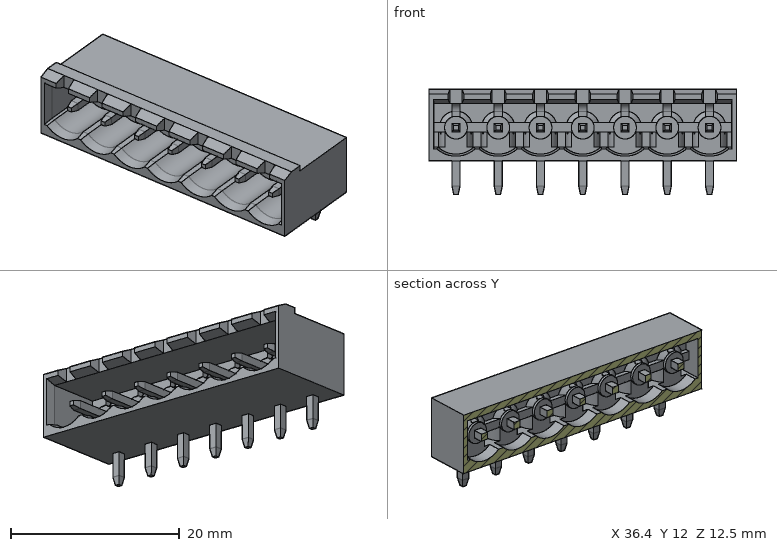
import cadquery as cq


length = 36.4
depth = 12.0
roof_height = 7.75
lip_height = 8.48
lip_depth = 3.0
bevel_depth = 1.3
bevel_drop = 0.55

pin_count = 7
pitch = 5.0
pin_width = 1.0
pin_tip_width = 0.55
pin_taper = 1.02
pin_drop = 4.0
pin_axis_z = 3.93
pin_tip_y = 1.4
leg_y = 10.0
pin_xs = [(i - (pin_count - 1) / 2) * pitch for i in range(pin_count)]

end_wall = 0.62
mouth_end_wall = 0.5
floor_z = 1.65
mouth_floor_z = 1.42
ceiling_z = 6.77
mouth_ceiling_z = 7.28
back_y = 7.65
cavity_length = length - 2 * end_wall

scallop_radius = 3.13
mouth_scallop_radius = 3.4

notch_width = 1.45
mouth_notch_width = 1.85

collar_radius = 1.35
collar_base_radius = 1.95
collar_rise = 0.35
ledge_bottom_z = 3.42
ledge_top_z = 4.5
upper_wall_y = back_y + collar_base_radius - collar_radius
slot_round = 0.95
pocket_y = upper_wall_y + slot_round
post_radius = 2.05


def block(x0, x1, y0, y1, z0, z1):
    """Box between opposite corner coordinates."""
    box = cq.Workplane("XY").box(x1 - x0, y1 - y0, z1 - z0, centered=False)
    return box.translate((x0, y0, z0))


def cavity_slab(y0, y1, z0, z1):
    """Box as long as the straight part of the socket."""
    return block(-cavity_length / 2, cavity_length / 2, y0, y1, z0, z1)


def turned(x, profile):
    """Body turned about a pin axis from (radius, y) points."""
    body = cq.Workplane("XY").polyline(profile).close().revolve(360, (0, 0, 0), (0, 1, 0))
    return body.translate((x, 0, pin_axis_z))


def at_pins(make):
    """All copies of a feature, one at each pin position, as one body."""
    bodies = make(pin_xs[0])
    for x in pin_xs[1:]:
        bodies = bodies.union(make(x))
    return bodies


def housing_blank():
    """Housing side outline with the raised, bevelled lip, extruded along X."""
    outline = [
        (0, 0),
        (depth, 0),
        (depth, roof_height),
        (lip_depth, roof_height),
        (lip_depth, lip_height),
        (bevel_depth, lip_height),
        (0, lip_height - bevel_drop),
    ]
    return cq.Workplane("YZ").polyline(outline).close().extrude(length / 2, both=True)


def flared_mouth():
    """Lead-in that widens from the straight cavity to the open face."""
    mouth_length = length - 2 * mouth_end_wall
    mouth_rise = mouth_ceiling_z - mouth_floor_z
    rise = ceiling_z - floor_z
    centre_shift = (ceiling_z + floor_z - mouth_ceiling_z - mouth_floor_z) / 2
    return (
        cq.Workplane("XZ")
        .center(0, (mouth_ceiling_z + mouth_floor_z) / 2)
        .rect(mouth_length, mouth_rise)
        .workplane(offset=-bevel_depth)
        .center(0, centre_shift)
        .rect(cavity_length, rise)
        .loft(combine=True)
    )


def scallop(x):
    """Rounded floor trough with a conical lead-in."""
    trough = turned(x, [
        (0, 0),
        (mouth_scallop_radius, 0),
        (scallop_radius, bevel_depth),
        (scallop_radius, back_y),
        (0, back_y),
    ])
    return trough.intersect(cavity_slab(0, back_y, 0, floor_z))


def lip_notch(x):
    """Notch through the lip, narrowing away from the open face."""
    outline = [
        (x - mouth_notch_width / 2, 0),
        (x + mouth_notch_width / 2, 0),
        (x + notch_width / 2, bevel_depth),
        (x - notch_width / 2, bevel_depth),
    ]
    notch = cq.Workplane("XY").polyline(outline).close().extrude(lip_height - ceiling_z)
    return notch.translate((0, 0, ceiling_z))


def collar(x):
    """Round collar that carries the pin and flares to the upper back wall."""
    return turned(x, [
        (0, back_y - collar_rise),
        (collar_radius, back_y - collar_rise),
        (collar_radius, back_y),
        (collar_base_radius, upper_wall_y),
        (0, upper_wall_y),
    ])


def post(x):
    """Upright round post with a flat front, below the ledge."""
    post_height = ledge_bottom_z - floor_z
    round_post = cq.Workplane("XY", origin=(x, pocket_y, floor_z)).circle(post_radius).extrude(post_height)
    return round_post.intersect(cavity_slab(back_y, pocket_y, floor_z, ledge_bottom_z))


def wall_slot(x):
    """Slot above the collar, with a rounded top that runs into its back."""
    bottom_z = pin_axis_z + collar_radius
    slot = block(x - pin_width / 2, x + pin_width / 2, back_y, pocket_y, bottom_z, ceiling_z)
    return slot.edges("|X and >Y and >Z").fillet(slot_round)


def tapered_bar(start, along, bar_length):
    """Square bar from a start point, ending in a tapered tip."""
    plane = cq.Plane(origin=start, xDir=(1, 0, 0), normal=along)
    shank = bar_length - pin_taper
    bar = cq.Workplane(plane).rect(pin_width, pin_width).extrude(shank)
    tip = (
        cq.Workplane(plane)
        .workplane(offset=shank)
        .rect(pin_width, pin_width)
        .workplane(offset=pin_taper)
        .rect(pin_tip_width, pin_tip_width)
        .loft(combine=True)
    )
    return bar.union(tip)


def bent_pin(x):
    """Contact in the socket joined to the solder leg below the housing."""
    corner = (x, leg_y, pin_axis_z)
    contact = tapered_bar(corner, (0, -1, 0), leg_y - pin_tip_y)
    leg = tapered_bar(corner, (0, 0, -1), pin_axis_z + pin_drop)
    return contact.union(leg)


socket = cavity_slab(0, back_y, floor_z, ceiling_z).union(flared_mouth())
upper_recess = cavity_slab(back_y, upper_wall_y, ledge_top_z, ceiling_z)
lower_pockets = cavity_slab(back_y, pocket_y, floor_z, ledge_bottom_z).cut(at_pins(post))

result = (
    housing_blank()
    .cut(socket)
    .cut(at_pins(scallop))
    .cut(at_pins(lip_notch))
    .cut(upper_recess)
    .cut(lower_pockets)
    .union(at_pins(collar))
    .cut(at_pins(wall_slot))
    .union(at_pins(bent_pin))
)